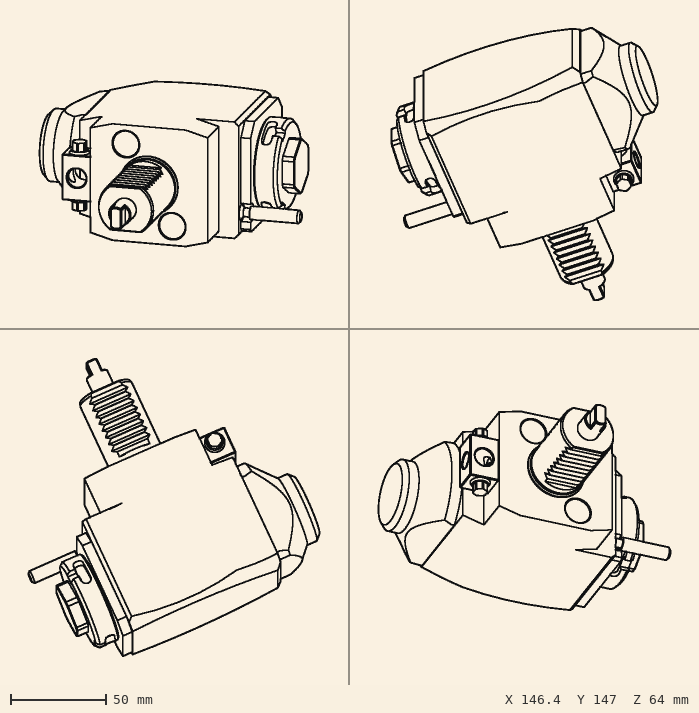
import cadquery as cq
import math


SPINDLE_Y = 55.0

HALF_HEIGHT = 64.0 / 2
HEAD_LEFT = -44.0
HEAD_RIGHT = 42.8
HEAD_BOTTOM = 21.0
HEAD_TOP = 85.0
FOOT_HALF_WIDTH = 32.0
TAPER_START = 20.0
TAPER_SLOPE = math.tan(math.radians(15))
RIGHT_CHAMFER = 2.2
TOP_LEFT_CHAMFER = 3.1
CROWN_RADIUS = 136.7
CROWN_X = 10.1
CROWN_HALF_HEIGHT = 29.1
PLUG_X = 12.6
PLUG_Z = 21.5
PLUG_RADIUS = 7.5
PLUG_RECESS = 0.5

NOSE_LEFT = -71.1
NOSE_RADIUS = 19.3
NOSE_CHAMFER = 2.8
NOSE_END = -62.8
CONE_END = -50.0
CAP_RADIUS = 33.5
CAP_TOP_FLAT = 25.7
CAP_HALF_HEIGHT = 25.1
CAP_TAPER_START = -45.7

PLATE_RIGHT = 48.0
PLATE_HALF = 29.4
PLATE_CORNER = 7.2
PLATE_PIN_CORNER = 1.6
NUT_RADIUS = 24.5
NUT_RIGHT = 60.7
NUT_REAR_CHAMFER = 0.7
NUT_FRONT_CHAMFER = 1.8
NUT_SLOT_X = 53.0
NUT_SLOT_WIDTH = 5.3
NUT_SLOT_LENGTH = 17.0
NUT_SLOT_DEPTH = 3.5
NUT_CHANNEL_WIDTH = 5.9
NUT_SLOT_COUNT = 3
NUT_SLOT_ANGLE = 29.0
HEX_RIGHT = 67.3
HEX_FLATS = 26.9
HEX_CORNER_RADIUS = 14.8
HEX_CHAMFER = 0.5

PIN_Y = 26.5
PIN_Z = -18.8
PIN_RADIUS = 3.5
PIN_RIGHT = 75.3
PIN_CHAMFER = 1.2
PIN_NECK_RADIUS = 2.4
PIN_FOOT_RADIUS = 4.1
PIN_FOOT_LENGTH = 1.6
PIN_RECESS_RADIUS = 5.0

SHANK_RADIUS = 15.0
SHANK_END = -44.5
SHANK_BEVEL = 0.6
SHANK_BEVEL_LENGTH = 1.6
FLAT_CHAMFER = 0.5
COLLAR_RADIUS = 15.9
COLLAR_STRAIGHT = 0.6
COLLAR_END = 1.5
RELIEF_END = 2.5
RELIEF_DEPTH = 0.22
FLAT_START = -6.8
FLAT_HEIGHT = 12.2
TOOTH_COUNT = 8
FIRST_GROOVE = -11.6
LAST_GROOVE = -39.7
GROOVE_DEPTH = 1.9
TANG_RADIUS = 6.0
TANG_SHOULDER = -55.1
TANG_END = -62.0
TANG_HALF_WIDTH = 3.1
TANG_CHAMFER = 0.6

BLOCK_LEFT = -47.9
BLOCK_BOTTOM = 1.3
BLOCK_TOP = 16.2
BLOCK_HALF_HEIGHT = 12.5
BLOCK_CHAMFER = 0.5
BLOCK_HOLE_X = -40.0
THROUGH_HOLE_RADIUS = 5.1
SIDE_HOLE_Y = 8.4
SIDE_HOLE_RADIUS = 4.3
SIDE_HOLE_DEPTH = 13.5
FEED_HOLE_RADIUS = 1.5
FEED_HOLE_DEPTH = 20.6
HOLE_CHAMFER = 0.5
SCREW_Y = 6.9
SCREW_FLATS = 7.0
SCREW_CORNER_RADIUS = 3.8
SCREW_TOP = 18.5
SCREW_FLANGE_RADIUS = 5.3
SCREW_FLANGE_TOP_RADIUS = 4.4
SCREW_FLANGE_HEIGHT = 1.3


def box(x0, x1, y0, y1, z0, z1):
    """Box given by its limits along each axis."""
    return cq.Workplane("XY").box(x1 - x0, y1 - y0, z1 - z0, centered=False).translate((x0, y0, z0))


def rod_x(x0, x1, radius, y=SPINDLE_Y, z=0):
    """Cylinder along X."""
    return cq.Workplane("YZ", origin=(x0, y, z)).circle(radius).extrude(x1 - x0)


def rod_y(y0, y1, radius, x=0, z=0):
    """Cylinder along Y."""
    return cq.Workplane("XZ", origin=(x, y0, z)).circle(radius).extrude(y0 - y1)


def cone_y(y0, radius0, y1, radius1, x=0, z=0):
    """Cone frustum along Y."""
    profile = [(0, y0), (radius0, y0), (radius1, y1), (0, y1)]
    frustum = cq.Workplane("XY").polyline(profile).close().revolve(360, (0, 0, 0), (0, 1, 0))
    return frustum.translate((x, 0, z))


def cone_x(x0, radius0, x1, radius1, y, z):
    """Cone frustum along X."""
    profile = [(x0, 0), (x0, radius0), (x1, radius1), (x1, 0)]
    frustum = cq.Workplane("XY").polyline(profile).close().revolve(360, (0, 0, 0), (1, 0, 0))
    return frustum.translate((0, y, z))


def prism_y(half_outline, y0, y1):
    """Extrude along Y a section mirrored about Z = 0, given by its upper (x, z) half."""
    lower_half = [(x, -z) for x, z in reversed(half_outline)]
    return cq.Workplane("XZ", origin=(0, y0, 0)).polyline(half_outline + lower_half).close().extrude(y0 - y1)


def taper_height(x):
    """Half height of the housing on its tapered ends."""
    return HALF_HEIGHT - (abs(x) - TAPER_START) * TAPER_SLOPE


def housing():
    head_half = [
        (HEAD_LEFT, taper_height(HEAD_LEFT)),
        (-TAPER_START, HALF_HEIGHT),
        (HEAD_RIGHT - RIGHT_CHAMFER, HALF_HEIGHT),
        (HEAD_RIGHT, HALF_HEIGHT - RIGHT_CHAMFER),
    ]
    head = prism_y(head_half, HEAD_BOTTOM, HEAD_TOP)
    head = head.edges("<X and >Y").chamfer(TOP_LEFT_CHAMFER)

    for side in (1, -1):
        center_z = side * (CROWN_HALF_HEIGHT - CROWN_RADIUS)
        crown = cone_y(0, CROWN_RADIUS + HEAD_TOP, HEAD_TOP, CROWN_RADIUS, CROWN_X, center_z)
        head = head.intersect(crown)

    foot_half = [
        (-FOOT_HALF_WIDTH, taper_height(FOOT_HALF_WIDTH)),
        (-TAPER_START, HALF_HEIGHT),
        (TAPER_START, HALF_HEIGHT),
        (FOOT_HALF_WIDTH, taper_height(FOOT_HALF_WIDTH)),
    ]
    body = head.union(prism_y(foot_half, 0, HEAD_BOTTOM))
    for side in (1, -1):
        inner_radius = PLUG_RADIUS - PLUG_RECESS
        body = body.cut(cone_y(0, PLUG_RADIUS, PLUG_RECESS, inner_radius, -side * PLUG_X, side * PLUG_Z))
    return body


def bearing_cap():
    cap = (
        cq.Workplane("XY")
        .moveTo(HEAD_LEFT, 0)
        .lineTo(NOSE_LEFT, 0)
        .lineTo(NOSE_LEFT, NOSE_RADIUS - NOSE_CHAMFER)
        .lineTo(NOSE_LEFT + NOSE_CHAMFER, NOSE_RADIUS)
        .lineTo(NOSE_END, NOSE_RADIUS)
        .lineTo(CONE_END, CAP_RADIUS)
        .lineTo(HEAD_LEFT, CAP_RADIUS)
        .close()
        .revolve(360, (0, 0, 0), (1, 0, 0))
        .translate((0, SPINDLE_Y, 0))
    )
    left_height = CAP_HALF_HEIGHT - (CAP_TAPER_START - NOSE_LEFT) * TAPER_SLOPE
    envelope_half = [
        (NOSE_LEFT, left_height),
        (CAP_TAPER_START, CAP_HALF_HEIGHT),
        (HEAD_LEFT, CAP_HALF_HEIGHT),
    ]
    envelope = prism_y(envelope_half, SPINDLE_Y - CAP_RADIUS, SPINDLE_Y + CAP_TOP_FLAT)
    return cap.intersect(envelope).union(cap.intersect(rod_x(NOSE_LEFT, NOSE_END, NOSE_RADIUS)))


def front_plate():
    plate = box(
        HEAD_RIGHT, PLATE_RIGHT,
        SPINDLE_Y - PLATE_HALF, SPINDLE_Y + PLATE_HALF,
        -PLATE_HALF, PLATE_HALF,
    )
    plate = plate.edges("|X and >Y").chamfer(PLATE_CORNER)
    plate = plate.edges("|X and <Y and >Z").chamfer(PLATE_CORNER)
    plate = plate.edges("|X and <Y and <Z").chamfer(PLATE_PIN_CORNER)
    return plate.cut(rod_x(HEAD_RIGHT, PLATE_RIGHT, PIN_RECESS_RADIUS, PIN_Y, PIN_Z))


def clamping_nut():
    nut = rod_x(PLATE_RIGHT, NUT_RIGHT, NUT_RADIUS, 0)
    nut = nut.faces("<X").chamfer(NUT_REAR_CHAMFER)
    nut = nut.faces(">X").chamfer(NUT_FRONT_CHAMFER)

    slot = cq.Workplane("XY").center(NUT_SLOT_X, 0).slot2D(NUT_SLOT_LENGTH, NUT_SLOT_WIDTH, 90)
    slot = slot.extrude(NUT_RADIUS).cut(rod_x(PLATE_RIGHT, NUT_RIGHT, NUT_RADIUS - NUT_SLOT_DEPTH, 0))
    channel = box(
        NUT_SLOT_X, NUT_RIGHT,
        -NUT_CHANNEL_WIDTH / 2, NUT_CHANNEL_WIDTH / 2,
        NUT_RADIUS - NUT_SLOT_DEPTH, NUT_RADIUS,
    )
    recess = slot.union(channel)
    for index in range(NUT_SLOT_COUNT):
        angle = NUT_SLOT_ANGLE + index * 360 / NUT_SLOT_COUNT
        nut = nut.cut(recess.rotate((0, 0, 0), (1, 0, 0), angle))
    return nut.translate((0, SPINDLE_Y, 0))


def blunt_hexagon(plane, flats, corner_radius, length, turn):
    """Hexagonal prism at the origin whose corners are turned down to a cylinder."""
    corner_to_corner = flats / math.cos(math.radians(30))
    prism = cq.Workplane(plane).transformed(rotate=(0, 0, turn)).polygon(6, corner_to_corner).extrude(length)
    return prism.intersect(cq.Workplane(plane).circle(corner_radius).extrude(length))


def nut_hexagon():
    hexagon = blunt_hexagon("YZ", HEX_FLATS, HEX_CORNER_RADIUS, HEX_RIGHT - NUT_RIGHT, 90)
    return hexagon.faces(">X").chamfer(HEX_CHAMFER).translate((NUT_RIGHT, SPINDLE_Y, 0))


def coolant_pin():
    neck_start = HEAD_RIGHT + PIN_FOOT_LENGTH
    foot = cone_x(HEAD_RIGHT, PIN_FOOT_RADIUS, neck_start, PIN_NECK_RADIUS, PIN_Y, PIN_Z)
    neck = rod_x(HEAD_RIGHT, PLATE_RIGHT, PIN_NECK_RADIUS, PIN_Y, PIN_Z)
    pin = rod_x(PLATE_RIGHT, PIN_RIGHT, PIN_RADIUS, PIN_Y, PIN_Z).faces(">X").chamfer(PIN_CHAMFER)
    return foot.union(neck).union(pin)


def shank():
    bevel_start = SHANK_END + SHANK_BEVEL_LENGTH
    body = rod_y(bevel_start, -RELIEF_END, SHANK_RADIUS)
    body = body.union(rod_y(-RELIEF_END, 0, SHANK_RADIUS - RELIEF_DEPTH))
    body = body.union(cone_y(SHANK_END, SHANK_RADIUS - SHANK_BEVEL, bevel_start, SHANK_RADIUS))

    pitch = (FIRST_GROOVE - LAST_GROOVE) / (TOOTH_COUNT - 1)
    valley = FLAT_HEIGHT - GROOVE_DEPTH
    teeth = box(-SHANK_RADIUS, SHANK_RADIUS, SHANK_END, FLAT_START, FLAT_HEIGHT, SHANK_RADIUS)
    for index in range(TOOTH_COUNT):
        y = FIRST_GROOVE - index * pitch
        groove_section = [(y - GROOVE_DEPTH, FLAT_HEIGHT), (y, valley), (y + GROOVE_DEPTH, FLAT_HEIGHT)]
        groove = cq.Workplane("YZ").polyline(groove_section).close().extrude(SHANK_RADIUS, both=True)
        teeth = teeth.union(groove)
    body = body.cut(teeth).cut(teeth.mirror("XY"))
    body = body.faces("<Y").edges("|X").chamfer(FLAT_CHAMFER)

    collar = rod_y(-COLLAR_STRAIGHT, 0, COLLAR_RADIUS)
    collar_taper = cone_y(-COLLAR_END, SHANK_RADIUS, -COLLAR_STRAIGHT, COLLAR_RADIUS)
    return body.union(collar).union(collar_taper)


def drive_tang():
    journal = rod_y(TANG_SHOULDER, SHANK_END, TANG_RADIUS).faces("<Y").chamfer(TANG_CHAMFER)
    slab = box(-TANG_HALF_WIDTH, TANG_HALF_WIDTH, TANG_END, SHANK_END, -TANG_RADIUS, TANG_RADIUS)
    blade = rod_y(TANG_END, SHANK_END, TANG_RADIUS).intersect(slab)
    blade = blade.edges("|Y").chamfer(TANG_CHAMFER).faces("<Y").chamfer(TANG_CHAMFER)
    return journal.union(blade)


def block_screw():
    """Flanged hexagon screw head standing on the upper face of the coolant block."""
    flange = (
        cq.Workplane("XY")
        .circle(SCREW_FLANGE_RADIUS)
        .workplane(offset=SCREW_FLANGE_HEIGHT)
        .circle(SCREW_FLANGE_TOP_RADIUS)
        .loft()
    )
    head_height = SCREW_TOP - BLOCK_HALF_HEIGHT
    head = blunt_hexagon("XY", SCREW_FLATS, SCREW_CORNER_RADIUS, head_height, 90)
    return flange.union(head).translate((BLOCK_HOLE_X, SCREW_Y, BLOCK_HALF_HEIGHT))


def coolant_block():
    block = box(
        BLOCK_LEFT, -FOOT_HALF_WIDTH,
        BLOCK_BOTTOM, BLOCK_TOP,
        -BLOCK_HALF_HEIGHT, BLOCK_HALF_HEIGHT,
    )
    block = block.faces("not >X").edges("not >X").chamfer(BLOCK_CHAMFER)

    rim = THROUGH_HOLE_RADIUS + HOLE_CHAMFER
    block = block.cut(rod_y(BLOCK_BOTTOM, BLOCK_TOP, THROUGH_HOLE_RADIUS, BLOCK_HOLE_X))
    rim_depth = BLOCK_BOTTOM + HOLE_CHAMFER
    block = block.cut(cone_y(BLOCK_BOTTOM, rim, rim_depth, THROUGH_HOLE_RADIUS, BLOCK_HOLE_X))

    screw = block_screw()
    return block.union(screw).union(screw.mirror("XY"))


def side_hole():
    """Coolant inlet in the left face of the block, leading into a narrow feed hole."""
    hole = rod_x(BLOCK_LEFT, BLOCK_LEFT + SIDE_HOLE_DEPTH, SIDE_HOLE_RADIUS, SIDE_HOLE_Y)
    feed = rod_x(BLOCK_LEFT, BLOCK_LEFT + FEED_HOLE_DEPTH, FEED_HOLE_RADIUS, SIDE_HOLE_Y)
    rim_radius = SIDE_HOLE_RADIUS + HOLE_CHAMFER
    rim_end = BLOCK_LEFT + HOLE_CHAMFER
    rim = cone_x(BLOCK_LEFT, rim_radius, rim_end, SIDE_HOLE_RADIUS, SIDE_HOLE_Y, 0)
    return hole.union(feed).union(rim)


result = housing()
features = (
    bearing_cap(),
    front_plate(),
    clamping_nut(),
    nut_hexagon(),
    coolant_pin(),
    shank(),
    drive_tang(),
    coolant_block(),
)
for feature in features:
    result = result.union(feature)
result = result.cut(side_hole())